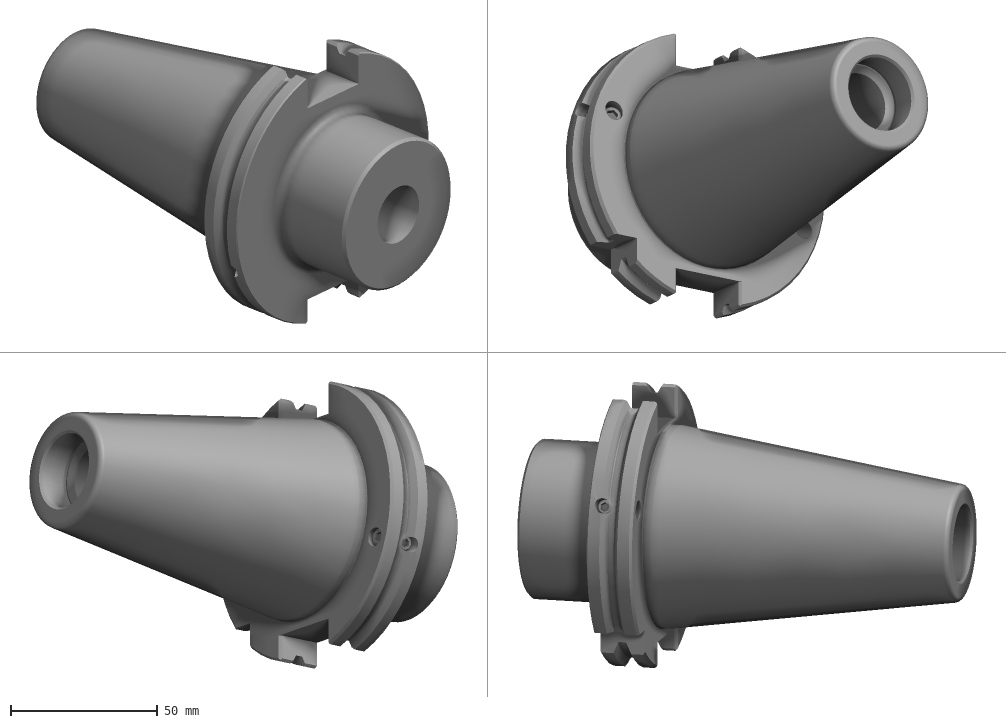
import cadquery as cq
import math


GAUGE_RADIUS = 69.85 / 2
TAPER_LENGTH = 101.3
TAPER_SLOPE = 7 / 48
TAPER_END_FILLET = 2.0

FLANGE_FRONT = 3.2
FLANGE_THICKNESS = 15.9
FLANGE_REAR = FLANGE_FRONT + FLANGE_THICKNESS
FLANGE_RADIUS = 97.5 / 2
FLANGE_FRONT_CHAMFER = 0.9
FLANGE_REAR_CHAMFER = 0.4
SHANK_ROOT_FILLET = 0.4
GROOVE_CENTRE = 11.4
GROOVE_FLOOR_WIDTH = 2.7
GROOVE_FLOOR_RADIUS = 91.25 / 2
GROOVE_WALL_ANGLE = 30.0
GROOVE_FLOOR_FILLET = 0.4

OVERALL_LENGTH = 150.7
NOSE_END = OVERALL_LENGTH - TAPER_LENGTH
NOSE_RADIUS = 55.0 / 2
NOSE_ROOT_FILLET = 3.0
NOSE_CHAMFER = 1.0

THROUGH_BORE_RADIUS = 21.0 / 2
PILOT_BORE_RADIUS = 26.0 / 2
PILOT_BORE_DEPTH = 10.0
PILOT_CHAMFER = 0.8
RELIEF_RADIUS = PILOT_BORE_RADIUS + 0.4
RELIEF_WIDTH = 1.5
CONE_LENGTH = 1.4

SLOT_WIDTH = 25.8
SLOT_EDGE_CHAMFER = 0.9
TOP_SLOT_FLOOR = 35.1
BOTTOM_SLOT_FLOOR = 37.7

NOTCH_Y = 29.7
NOTCH_Z = 29.8

HOLE_ANGLE = 20.0
HOLE_TURNS = (0.0, 180.0)
FACE_HOLE_RADIUS = 41.8
FACE_HOLE_DIAMETER = 6.6
FACE_HOLE_TILT = 25.0
FACE_SCREW_RECESS = 3.8
FACE_SCREW_LENGTH = 4.0
RIM_HOLE_X = FLANGE_FRONT + 11.1
RIM_HOLE_DIAMETER = 5.2
RIM_SCREW_RECESS = 3.7
RIM_SCREW_LENGTH = 3.5
SOCKET_RATIO = 0.65
SOCKET_DEPTH = 2.0
SCREW_CHAMFER = 0.4


def make_blank():
    """Outside of the holder, turned about X, with its round edges filleted or chamfered."""
    small_end_radius = GAUGE_RADIUS - TAPER_LENGTH * TAPER_SLOPE
    half_floor = GROOVE_FLOOR_WIDTH / 2
    wall_run = (FLANGE_RADIUS - GROOVE_FLOOR_RADIUS) * math.tan(math.radians(GROOVE_WALL_ANGLE))
    blank = (
        cq.Workplane("XZ")
        .moveTo(-TAPER_LENGTH, 0)
        .lineTo(-TAPER_LENGTH, small_end_radius)
        .lineTo(0, GAUGE_RADIUS)
        .lineTo(FLANGE_FRONT, GAUGE_RADIUS)
        .lineTo(FLANGE_FRONT, FLANGE_RADIUS)
        .lineTo(GROOVE_CENTRE - half_floor - wall_run, FLANGE_RADIUS)
        .lineTo(GROOVE_CENTRE - half_floor, GROOVE_FLOOR_RADIUS)
        .lineTo(GROOVE_CENTRE + half_floor, GROOVE_FLOOR_RADIUS)
        .lineTo(GROOVE_CENTRE + half_floor + wall_run, FLANGE_RADIUS)
        .lineTo(FLANGE_REAR, FLANGE_RADIUS)
        .lineTo(FLANGE_REAR, NOSE_RADIUS)
        .lineTo(NOSE_END, NOSE_RADIUS)
        .lineTo(NOSE_END, 0)
        .close()
        .revolve(360, (0, 0, 0), (1, 0, 0))
    )

    def rim(x, radius):
        """The circular edge at a place along X with a given radius."""
        reach = 0.01
        corner = (x - reach, -radius - reach, -radius - reach)
        opposite = (x + reach, radius + reach, radius + reach)
        circles = blank.edges(cq.selectors.BoxSelector(corner, opposite, boundingbox=True))
        return circles.filter(lambda edge: abs(edge.radius() - radius) < reach)

    for x, radius, fillet in (
        (-TAPER_LENGTH, small_end_radius, TAPER_END_FILLET),
        (FLANGE_FRONT, GAUGE_RADIUS, SHANK_ROOT_FILLET),
        (GROOVE_CENTRE - half_floor, GROOVE_FLOOR_RADIUS, GROOVE_FLOOR_FILLET),
        (GROOVE_CENTRE + half_floor, GROOVE_FLOOR_RADIUS, GROOVE_FLOOR_FILLET),
        (FLANGE_REAR, NOSE_RADIUS, NOSE_ROOT_FILLET),
    ):
        blank = rim(x, radius).fillet(fillet)
    for x, radius, chamfer in (
        (FLANGE_FRONT, FLANGE_RADIUS, FLANGE_FRONT_CHAMFER),
        (FLANGE_REAR, FLANGE_RADIUS, FLANGE_REAR_CHAMFER),
        (NOSE_END, NOSE_RADIUS, NOSE_CHAMFER),
    ):
        blank = rim(x, radius).chamfer(chamfer)
    return blank


def make_bore():
    """Through bore with a wider pilot bore, relief groove and cone at the small end of the taper."""
    relief_start = -TAPER_LENGTH + PILOT_BORE_DEPTH
    relief_end = relief_start + RELIEF_WIDTH
    return (
        cq.Workplane("XZ")
        .moveTo(-TAPER_LENGTH, 0)
        .lineTo(-TAPER_LENGTH, PILOT_BORE_RADIUS + PILOT_CHAMFER)
        .lineTo(-TAPER_LENGTH + PILOT_CHAMFER, PILOT_BORE_RADIUS)
        .lineTo(relief_start, PILOT_BORE_RADIUS)
        .lineTo(relief_start, RELIEF_RADIUS)
        .lineTo(relief_end, RELIEF_RADIUS)
        .lineTo(relief_end, PILOT_BORE_RADIUS)
        .lineTo(relief_end + CONE_LENGTH, THROUGH_BORE_RADIUS)
        .lineTo(NOSE_END, THROUGH_BORE_RADIUS)
        .lineTo(NOSE_END, 0)
        .close()
        .revolve(360, (0, 0, 0), (1, 0, 0))
    )


def make_slot(floor):
    """Drive slot across the flange, open upwards, with its front and rim edges chamfered."""
    height = FLANGE_RADIUS
    slot = cq.Workplane("XY").box(FLANGE_THICKNESS, SLOT_WIDTH, height, centered=(False, True, False))
    slot = slot.translate((FLANGE_FRONT, 0, floor))
    half_width = SLOT_WIDTH / 2
    wide_half = half_width + SLOT_EDGE_CHAMFER
    front = (
        cq.Workplane("XY", origin=(FLANGE_FRONT, 0, floor))
        .moveTo(0, -wide_half)
        .lineTo(0, wide_half)
        .lineTo(SLOT_EDGE_CHAMFER, half_width)
        .lineTo(SLOT_EDGE_CHAMFER, -half_width)
        .close()
        .extrude(height)
    )
    slot_rim = math.sqrt(FLANGE_RADIUS**2 - wide_half**2)
    rim = (
        cq.Workplane("YZ", origin=(FLANGE_FRONT, 0, slot_rim))
        .moveTo(half_width, -SLOT_EDGE_CHAMFER)
        .lineTo(wide_half, 0)
        .lineTo(wide_half, FLANGE_RADIUS)
        .lineTo(-wide_half, FLANGE_RADIUS)
        .lineTo(-wide_half, 0)
        .lineTo(-half_width, -SLOT_EDGE_CHAMFER)
        .close()
        .extrude(FLANGE_THICKNESS)
    )
    return slot.union(front).union(rim)


def make_notch():
    """Corner notch through the flange, on the +Y, -Z side."""
    notch = cq.Workplane("XY").box(FLANGE_THICKNESS, FLANGE_RADIUS, FLANGE_RADIUS, centered=False)
    return notch.translate((FLANGE_FRONT, NOTCH_Y, -NOTCH_Z - FLANGE_RADIUS))


def face_hole_place(turn):
    """Workplane at the mouth of a face hole, facing out of it, and the hole's angle about X."""
    tilt = math.radians(FACE_HOLE_TILT)
    plane = cq.Plane(
        origin=(FLANGE_FRONT, FACE_HOLE_RADIUS, 0),
        xDir=(0, 0, 1),
        normal=(-math.cos(tilt), math.sin(tilt), 0),
    )
    return cq.Workplane(plane), HOLE_ANGLE + turn


def rim_hole_place(turn):
    """Workplane at the mouth of a rim hole, facing out of it, and the hole's angle about X."""
    plane = cq.Plane(origin=(RIM_HOLE_X, FLANGE_RADIUS, 0), xDir=(0, 0, 1), normal=(0, 1, 0))
    return cq.Workplane(plane), HOLE_ANGLE + turn


def make_hole(place, diameter, depth):
    """Blind round hole that also clears the space just outside its mouth."""
    workplane, angle = place
    hole = workplane.workplane(offset=diameter).circle(diameter / 2).extrude(-depth - diameter)
    return hole.rotate((0, 0, 0), (1, 0, 0), angle)


def make_screw(place, diameter, recess, length):
    """Set screw with a hexagon socket, sunk below the mouth of its hole."""
    workplane, angle = place
    screw = workplane.workplane(offset=-recess).circle(diameter / 2).extrude(-length)
    screw = screw.edges().chamfer(SCREW_CHAMFER)
    socket = workplane.workplane(offset=-recess).polygon(6, diameter * SOCKET_RATIO).extrude(-SOCKET_DEPTH)
    return screw.cut(socket).rotate((0, 0, 0), (1, 0, 0), angle)


holder = make_blank().cut(make_bore())
holder = holder.cut(make_slot(TOP_SLOT_FLOOR))
holder = holder.cut(make_slot(BOTTOM_SLOT_FLOOR).rotate((0, 0, 0), (1, 0, 0), 180))
holder = holder.cut(make_notch())

face_screws = []
rim_screws = []
for turn in HOLE_TURNS:
    face_place = face_hole_place(turn)
    holder = holder.cut(make_hole(face_place, FACE_HOLE_DIAMETER, FACE_SCREW_RECESS + FACE_SCREW_LENGTH))
    face_screws.append(make_screw(face_place, FACE_HOLE_DIAMETER, FACE_SCREW_RECESS, FACE_SCREW_LENGTH).val())

    rim_place = rim_hole_place(turn)
    holder = holder.cut(make_hole(rim_place, RIM_HOLE_DIAMETER, RIM_SCREW_RECESS + RIM_SCREW_LENGTH))
    rim_screws.append(make_screw(rim_place, RIM_HOLE_DIAMETER, RIM_SCREW_RECESS, RIM_SCREW_LENGTH).val())

result = cq.Compound.makeCompound([holder.solids().val(), *face_screws, *rim_screws])